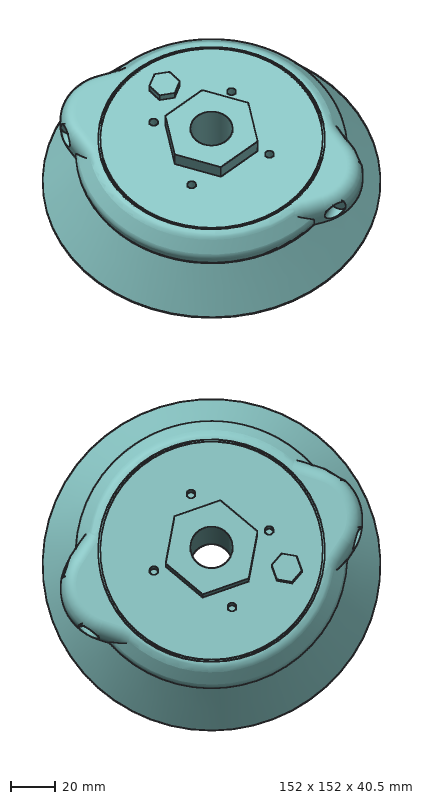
import cadquery as cq
import math

SKIRT_RADIUS = 76.0
RIM_HEIGHT = 0.6
SKIRT_TOP_RADIUS = 60.0

BODY_BOTTOM = 19.6
BODY_TOP = 33.1
BODY_HEIGHT = BODY_TOP - BODY_BOTTOM
BODY_RADIUS = 61.1
BOTTOM_ROUND = 3.0
CHAMFER = 7.3
CHAMFER_TOP_BLEND = 6.0
CHAMFER_SIDE_BLEND = 3.0

EDGE_BOX_HALF = 0.2

LUG_REACH = 70.5
LUG_RADIUS = 24.5
LUG_CENTER = LUG_REACH - LUG_RADIUS
LUG_ANGLE = 52.3
LUG_TOP_ROUND = 7.0
LUG_BLEND = 27.4
LUG_ROOT_RADIUS = 57.5

LUG_HOLE_DIAMETER = 7.5
LUG_HOLE_X = 64.3
LUG_HOLE_Z = 26.5
LUG_HOLE_FLOOR = 11.4

GROOVE_OUTER_RADIUS = 102.0 / 2
GROOVE_INNER_RADIUS = 100.0 / 2
GROOVE_DEPTH = 0.9

HEX_SIDES = 6
NUT_FLATS = 38.0
NUT_TOP = 40.5
PLUG_FLATS = 12.0
PLUG_HEIGHT = 3.6
PLUG_X = -29.0
PLUG_Y = 19.5
PLUG_TURN = 30

BORE_DIAMETER = 19.0
PIN_HOLE_DIAMETER = 4.0
PIN_HOLE_DEPTH = 6.1
PIN_CIRCLE_RADIUS = 27.5
PIN_HOLE_COUNT = 4


def make_skirt():
    return (
        cq.Workplane("XZ")
        .polyline([
            (0, 0),
            (SKIRT_RADIUS, 0),
            (SKIRT_RADIUS, RIM_HEIGHT),
            (SKIRT_TOP_RADIUS, BODY_BOTTOM),
            (0, BODY_BOTTOM),
        ])
        .close()
        .revolve(360, (0, 0, 0), (0, 1, 0))
    )


def slab_box(height):
    """Opposite corners of a thin full-width box around one height."""
    return (
        (-SKIRT_RADIUS, -SKIRT_RADIUS, height - EDGE_BOX_HALF),
        (SKIRT_RADIUS, SKIRT_RADIUS, height + EDGE_BOX_HALF),
    )


def make_disc():
    disc = cq.Workplane("XY", origin=(0, 0, BODY_BOTTOM)).circle(BODY_RADIUS).extrude(BODY_HEIGHT)
    disc = disc.faces(">Z").chamfer(CHAMFER)
    disc = disc.faces(">Z").edges().fillet(CHAMFER_TOP_BLEND)
    chamfer_foot = cq.selectors.BoxSelector(*slab_box(BODY_TOP - CHAMFER))
    disc = disc.edges(chamfer_foot).edges("%CIRCLE").fillet(CHAMFER_SIDE_BLEND)
    return disc.faces("<Z").edges().fillet(BOTTOM_ROUND)


def polar(radius, angle, center=(0, 0)):
    return (center[0] + radius * math.cos(angle), center[1] + radius * math.sin(angle))


def mirrored(point):
    return (point[0], -point[1])


def make_lug():
    """Round-nosed lug on +X whose straight flanks curve outward into the disc."""
    flank_angle = math.radians(LUG_ANGLE)
    nose_end = polar(LUG_RADIUS, flank_angle, (LUG_CENTER, 0))

    blend_offset = LUG_CENTER * math.cos(flank_angle) + LUG_RADIUS + LUG_BLEND
    root_turn = math.acos(blend_offset / (LUG_ROOT_RADIUS + LUG_BLEND))
    root_angle = flank_angle - root_turn
    blend_center = polar(LUG_ROOT_RADIUS + LUG_BLEND, root_angle)
    flank_end = polar(-LUG_BLEND, flank_angle, blend_center)
    blend_middle = polar(-LUG_BLEND, flank_angle - root_turn / 2, blend_center)
    root = polar(LUG_ROOT_RADIUS, root_angle)

    lug = (
        cq.Workplane("XY", origin=(0, 0, BODY_BOTTOM))
        .lineTo(*mirrored(root))
        .threePointArc(mirrored(blend_middle), mirrored(flank_end))
        .lineTo(*mirrored(nose_end))
        .threePointArc((LUG_REACH, 0), nose_end)
        .lineTo(*flank_end)
        .threePointArc(blend_middle, root)
        .close()
        .extrude(BODY_HEIGHT)
    )
    outline = cq.selectors.BoxSelector(
        (LUG_ROOT_RADIUS / 2, -SKIRT_RADIUS, 0),
        (SKIRT_RADIUS, SKIRT_RADIUS, NUT_TOP),
    )
    lug = lug.faces(">Z").edges(outline).fillet(LUG_TOP_ROUND)
    return lug.faces("<Z").edges(outline).fillet(BOTTOM_ROUND)


def make_lug_holes():
    """One hole into each end of both lugs, leaving a solid web in the middle."""
    bar = (
        cq.Workplane("XZ", origin=(0, -LUG_HOLE_FLOOR, 0))
        .pushPoints([(-LUG_HOLE_X, LUG_HOLE_Z), (LUG_HOLE_X, LUG_HOLE_Z)])
        .circle(LUG_HOLE_DIAMETER / 2)
        .extrude(LUG_RADIUS)
    )
    return bar.union(bar.mirror("XZ"))


def make_groove():
    return (
        cq.Workplane("XY", origin=(0, 0, BODY_TOP - GROOVE_DEPTH))
        .circle(GROOVE_OUTER_RADIUS)
        .circle(GROOVE_INNER_RADIUS)
        .extrude(GROOVE_DEPTH)
    )


def make_hexagon(flats, height, x=0, y=0, turn=0):
    """Hexagonal block on the top face; with no turn its corners point along X."""
    return (
        cq.Workplane("XY")
        .polygon(HEX_SIDES, flats / math.cos(math.pi / HEX_SIDES))
        .extrude(height)
        .rotate((0, 0, 0), (0, 0, 1), turn)
        .translate((x, y, BODY_TOP))
    )


def make_pin_holes():
    return (
        cq.Workplane("XY", origin=(0, 0, BODY_TOP))
        .polarArray(PIN_CIRCLE_RADIUS, 0, 360, PIN_HOLE_COUNT)
        .circle(PIN_HOLE_DIAMETER / 2)
        .extrude(-PIN_HOLE_DEPTH)
    )


def make_bore():
    return cq.Workplane("XY").circle(BORE_DIAMETER / 2).extrude(NUT_TOP)


lug = make_lug()
body = make_disc().union(lug).union(lug.mirror("YZ"))
result = (
    body.union(make_skirt())
    .union(make_hexagon(NUT_FLATS, NUT_TOP - BODY_TOP))
    .union(make_hexagon(PLUG_FLATS, PLUG_HEIGHT, PLUG_X, PLUG_Y, PLUG_TURN))
    .cut(make_lug_holes())
    .cut(make_groove())
    .cut(make_pin_holes())
    .cut(make_bore())
)